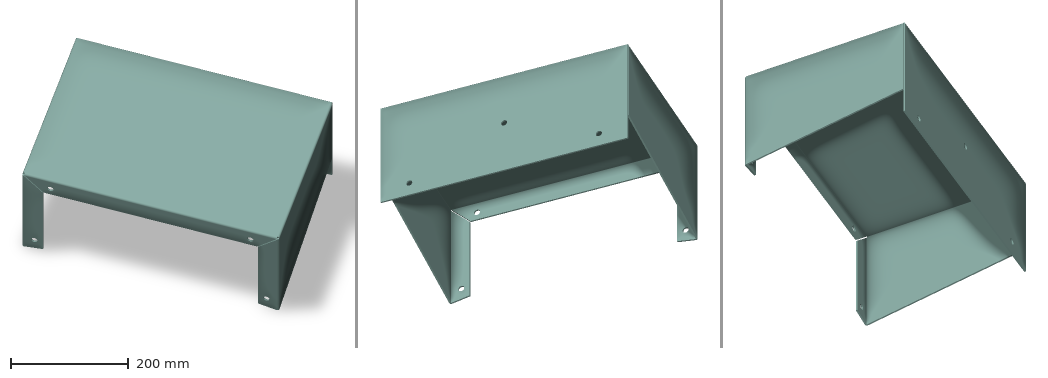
import cadquery as cq
import math

LENGTH = 457.0
DEPTH = 305.0
HEIGHT = 203.0

THICKNESS = 3.0
INNER_BEND = 0.65
OUTER_BEND = THICKNESS + INNER_BEND

FLANGE_WIDTH = 37.5
MITRE_GAP = 2.0

SIDE_RISE = 50.7

BACK_INSET = 1.0
BACK_BEND = 2.7

HOLE_DIAMETER = 11.0
LOW_HOLE_HEIGHT = 25.0
TOP_FLANGE_HOLE_X = 178.0
TOP_FLANGE_HOLE_DROP = 22.5
SIDE_FLANGE_HOLE_X = 206.5
BACK_HOLE_X = 174.5

FRONT = -DEPTH / 2
BACK = DEPTH / 2
BACK_INNER = BACK - THICKNESS
FRONT_BEND_LINE = FRONT + OUTER_BEND
EDGE_SLOPE = SIDE_RISE / (BACK_INNER - FRONT_BEND_LINE)
LOW_HOLE_Z = LOW_HOLE_HEIGHT - HEIGHT


def block(x_range, y_range, z_range):
    """Axis-aligned box between the given limits."""
    size = [high - low for low, high in (x_range, y_range, z_range)]
    corner = (x_range[0], y_range[0], z_range[0])
    return cq.Workplane("XY").box(*size, centered=False).translate(corner)


def bent_shell():
    """Top, sides and front wall with rounded bends, open at the bottom and back."""
    outer = block((-LENGTH / 2, LENGTH / 2), (FRONT, BACK_INNER), (-HEIGHT, 0))
    outer = outer.edges("|Z and <Y").fillet(OUTER_BEND)
    outer = outer.faces(">Z").edges("not >Y").fillet(OUTER_BEND)
    half = LENGTH / 2 - THICKNESS
    inner = block((-half, half), (FRONT + THICKNESS, BACK), (-2 * HEIGHT, -THICKNESS))
    inner = inner.edges("|Z and <Y").fillet(INNER_BEND)
    inner = inner.faces(">Z").edges("not >Y").fillet(INNER_BEND)
    return outer.cut(inner)


def front_opening():
    """Cutter leaving a flange along the top and both sides of the front."""
    half = LENGTH / 2 - FLANGE_WIDTH
    return block((-half, half), (FRONT, FRONT_BEND_LINE), (-HEIGHT, -FLANGE_WIDTH))


def side_trim():
    """Wedge cutter for the sloping lower edges of the sides."""
    return (
        cq.Workplane("YZ")
        .moveTo(FRONT_BEND_LINE, -HEIGHT)
        .lineTo(BACK_INNER, -HEIGHT + SIDE_RISE)
        .lineTo(BACK_INNER, -HEIGHT)
        .close()
        .extrude(LENGTH / 2, both=True)
    )


def flange_trim(side):
    """Wedge cutter for the sloping lower end of one side flange."""
    bend_x = side * (LENGTH / 2 - OUTER_BEND)
    tip_x = side * (LENGTH / 2 - FLANGE_WIDTH)
    rise = abs(bend_x - tip_x) * EDGE_SLOPE
    return (
        cq.Workplane("XZ", origin=(0, FRONT_BEND_LINE, 0))
        .moveTo(bend_x, -HEIGHT)
        .lineTo(tip_x, -HEIGHT + rise)
        .lineTo(tip_x, -HEIGHT)
        .close()
        .extrude(OUTER_BEND)
    )


def mitre_cut(side):
    """Diagonal gap between the top flange and one side flange."""
    offset = MITRE_GAP / math.sqrt(2)
    corner = side * LENGTH / 2
    reach = side * (LENGTH / 2 - FLANGE_WIDTH - offset)
    return (
        cq.Workplane("XZ", origin=(0, FRONT_BEND_LINE, 0))
        .moveTo(corner, offset)
        .lineTo(reach, -FLANGE_WIDTH)
        .lineTo(reach, -FLANGE_WIDTH - 2 * offset)
        .lineTo(corner, -offset)
        .close()
        .extrude(OUTER_BEND)
    )


def corner_relief(side):
    """Open notch where the three bends meet at a front corner."""
    x_range = sorted((side * LENGTH / 2, side * (LENGTH / 2 - OUTER_BEND)))
    return block(x_range, (FRONT, FRONT_BEND_LINE), (-OUTER_BEND, 0))


def back_panel():
    """Full-height back wall bent down from the top."""
    half = LENGTH / 2 - BACK_INSET
    panel = block((-half, half), (BACK_INNER, BACK), (-HEIGHT, 0))
    return panel.edges(">Y and >Z").fillet(BACK_BEND)


def holes(points, y_start, length):
    """Round cutters along +Y at the given (x, z) points."""
    return (
        cq.Workplane("XZ", origin=(0, y_start, 0))
        .pushPoints(points)
        .circle(HOLE_DIAMETER / 2)
        .extrude(-length)
    )


cover = bent_shell().cut(front_opening()).cut(side_trim())
front_hole_points = []
back_hole_points = [(0, -HEIGHT / 2)]
for side in (-1, 1):
    cover = cover.cut(flange_trim(side)).cut(mitre_cut(side)).cut(corner_relief(side))
    front_hole_points.append((side * TOP_FLANGE_HOLE_X, -TOP_FLANGE_HOLE_DROP))
    front_hole_points.append((side * SIDE_FLANGE_HOLE_X, LOW_HOLE_Z))
    back_hole_points.append((side * BACK_HOLE_X, LOW_HOLE_Z))

cover = cover.cut(holes(front_hole_points, FRONT, OUTER_BEND))
panel = back_panel().cut(holes(back_hole_points, BACK_INNER, THICKNESS))

result = cover.union(panel)